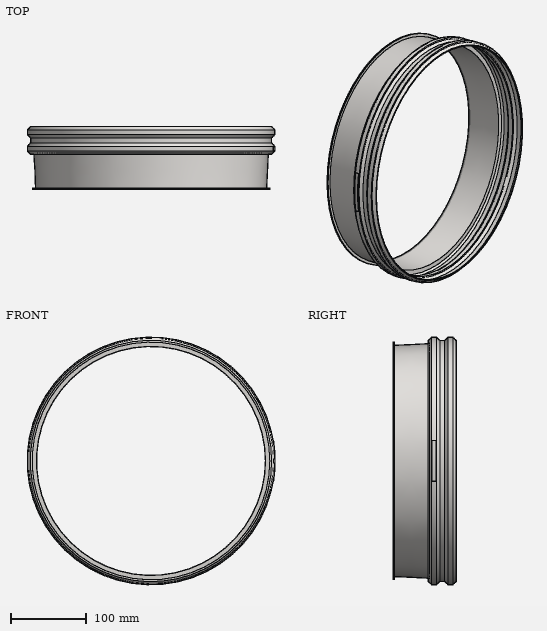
import cadquery as cq
import math

length = 83.0
wall = 2.0

flange_radius = 312.5 / 2
flange_thickness = 2.0
mouth_radius = 300.7 / 2
tube_front_radius = mouth_radius + wall
tube_back_radius = 154.5

bead_radius = 326.0 / 2
groove_radius = 317.5 / 2
band_width = 6.2
bevel_length = 4.5
rim_thickness = 1.3

band_pitch = band_width + bevel_length
bead_start = length - 3 * band_width - 4 * bevel_length

pad_height = 0.5
pad_length = 53.5
pad_width = 5.0
pad_center_y = bead_start + bevel_length + band_width / 2


def band_corners(inset):
    """Corners of bead, groove and bead towards the open end, set inward by inset."""
    corners = []
    for index, radius in enumerate((bead_radius, groove_radius, bead_radius)):
        band_start = bead_start + bevel_length + index * band_pitch
        corners.append((radius - inset, band_start))
        corners.append((radius - inset, band_start + band_width))
    return corners


def make_ring():
    """Revolve the thin-walled section around the Y axis."""
    outside = [
        (mouth_radius, 0),
        (flange_radius, 0),
        (flange_radius, flange_thickness),
        (tube_front_radius, flange_thickness),
        (tube_back_radius, bead_start),
        (groove_radius, bead_start),
        *band_corners(0),
        (groove_radius, length),
    ]
    web_back_y = bead_start + wall
    bevel_slope = (bead_radius - groove_radius) / bevel_length
    web_inner_radius = groove_radius - wall + bevel_slope * wall
    inside = [
        (groove_radius - rim_thickness, length),
        *reversed(band_corners(wall)),
        (web_inner_radius, web_back_y),
        (tube_back_radius - wall, web_back_y),
        (mouth_radius, flange_thickness),
    ]
    section = cq.Workplane("XY").polyline(outside + inside).close()
    return section.revolve(360, (0, 0, 0), (0, 1, 0))


def make_pad():
    """Curved pad that follows the bead and is rooted in its wall."""
    root_radius = bead_radius - wall / 2
    top_radius = bead_radius + pad_height
    middle_radius = (root_radius + top_radius) / 2
    pad_angle = 2 * math.degrees(math.asin(pad_length / 2 / top_radius))
    section = (
        cq.Workplane("XY")
        .center(middle_radius, pad_center_y)
        .rect(top_radius - root_radius, pad_width)
    )
    pad = section.revolve(pad_angle, (-middle_radius, 0, 0), (-middle_radius, 1, 0))
    return pad.rotate((0, 0, 0), (0, 1, 0), -pad_angle / 2)


result = make_ring().union(make_pad())